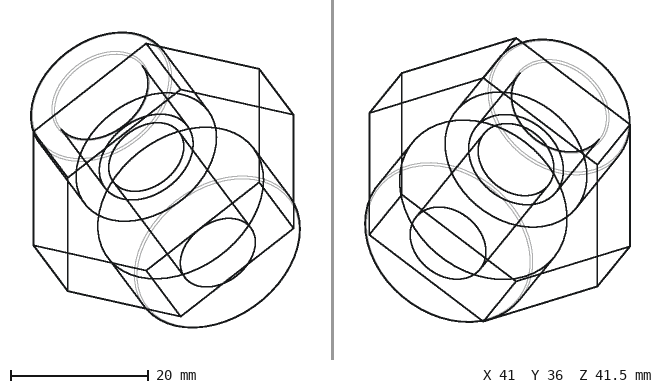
import cadquery as cq
import math

hex_corner_width = 41.55
hex_length = 12.0

small_diameter = 22.4
small_length = 16.0
large_diameter = 26.45
large_length = 12.95
edge_radius = 0.3

through_diameter = 11.97
counterbore_diameter = 14.95
counterbore_depth = small_length

total_length = small_length + hex_length + large_length
hex_start = -hex_length / 2
hex_end = hex_length / 2
small_end = hex_start - small_length


def cylinder(diameter, start, length):
    """Round bar along X, beginning at the given X position."""
    return cq.Workplane("YZ", origin=(start, 0, 0)).circle(diameter / 2).extrude(length)


def hex_collar():
    """Hexagon with corners on +Z and -Z and flats on +Y and -Y."""
    bar = cq.Workplane("YZ", origin=(hex_start, 0, 0))
    return bar.transformed(rotate=(0, 0, 90)).polygon(6, hex_corner_width).extrude(hex_length)


small_spigot = cylinder(small_diameter, small_end, small_length).faces("<X").fillet(edge_radius)
large_spigot = cylinder(large_diameter, hex_end, large_length).faces(">X").fillet(edge_radius)
body = hex_collar().union(small_spigot).union(large_spigot)

through_hole = cylinder(through_diameter, small_end, total_length)
counterbore = cylinder(counterbore_diameter, small_end, counterbore_depth)
body = body.cut(through_hole).cut(counterbore)

mouth_edge = cq.selectors.RadiusNthSelector(0)
result = body.faces("<X").edges(mouth_edge).fillet(edge_radius)